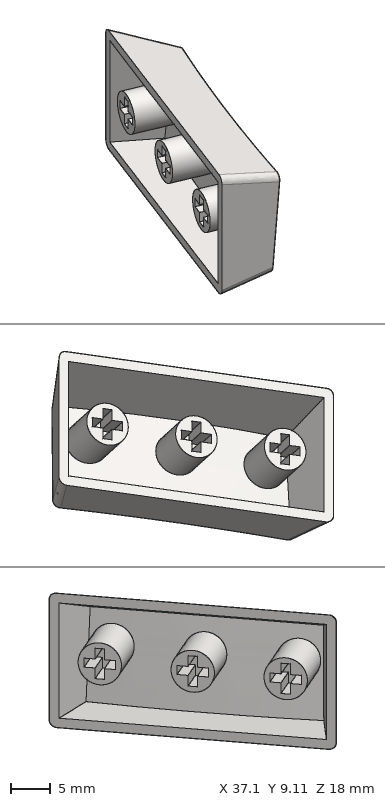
import cadquery as cq
import math

rim_length = 37.1
rim_height = 18.0
corner_radius = 1.0
top_edge_radius = 0.25

side_lean = 0.284
upper_lean = 0.392

wall = 1.3
cavity_length = rim_length - 2 * wall
cavity_height = rim_height - 2 * wall

upper_edge_depth = 9.17
lower_edge_depth = 7.95
dish_sag = 0.6
roof = 1.3

stem_diameter = 5.6
stem_pitch = 12.0
stem_count = 3
stem_start = 0.0
cross_span = 4.05
cross_arm = 1.2
cross_depth = 4.0

blank_depth = upper_edge_depth + 1.0

lower_wall_z = -rim_height / 2
upper_edge_z = rim_height / 2 - upper_lean * upper_edge_depth
top_tilt = math.atan2(upper_edge_depth - lower_edge_depth, upper_edge_z - lower_wall_z)
half_chord = rim_length / 2 - side_lean * upper_edge_depth
dish_radius = (half_chord**2 + dish_sag**2) / (2 * dish_sag)


def tapered_block(length, height):
    """Block that narrows along Y with the lean of the walls and keeps its -Z wall upright."""
    far_length = length - 2 * side_lean * blank_depth
    far_height = height - upper_lean * blank_depth
    far_center_z = (far_height - height) / 2
    rim_plane = cq.Plane(origin=(0, 0, 0), xDir=(-1, 0, 0), normal=(0, 1, 0))
    return (
        cq.Workplane(rim_plane)
        .rect(length, height)
        .workplane(offset=blank_depth)
        .center(0, far_center_z)
        .rect(far_length, far_height)
        .loft(ruled=True)
    )


def below_dish(offset):
    """Space on the rim side of the dished surface, moved toward the rim by offset."""
    plane = cq.Plane(
        origin=(0, lower_edge_depth, lower_wall_z),
        xDir=(1, 0, 0),
        normal=(0, math.sin(top_tilt), math.cos(top_tilt)),
    )
    reach = rim_length / 2
    middle_y = -dish_sag - offset
    end_y = middle_y + dish_radius - math.sqrt(dish_radius**2 - reach**2)
    base_y = -2 * blank_depth
    return (
        cq.Workplane(plane)
        .moveTo(-reach, base_y)
        .lineTo(-reach, end_y)
        .threePointArc((0, middle_y), (reach, end_y))
        .lineTo(reach, base_y)
        .close()
        .extrude(rim_height * 2, both=True)
    )


def on_stem_centers():
    """Workplane at the stem faces, facing +Y, with one point per stem."""
    plane = cq.Plane(origin=(0, stem_start, 0), xDir=(1, 0, 0), normal=(0, 1, 0))
    first_x = -stem_pitch * (stem_count - 1) / 2
    centers = [(first_x + i * stem_pitch, 0) for i in range(stem_count)]
    return cq.Workplane(plane).pushPoints(centers)


rounded_block = tapered_block(rim_length, rim_height).edges("not #Y").fillet(corner_radius)
sharp_envelope = rounded_block.intersect(below_dish(0))
envelope = sharp_envelope.faces(">Y").edges().fillet(top_edge_radius)
cavity = tapered_block(cavity_length, cavity_height).intersect(below_dish(roof))
shell = envelope.cut(cavity)

stems = on_stem_centers().circle(stem_diameter / 2).extrude(blank_depth).intersect(below_dish(roof / 2))
upright_slots = on_stem_centers().rect(cross_arm, cross_span).extrude(cross_depth)
level_slots = on_stem_centers().rect(cross_span, cross_arm).extrude(cross_depth)

result = shell.union(stems).cut(upright_slots).cut(level_slots)